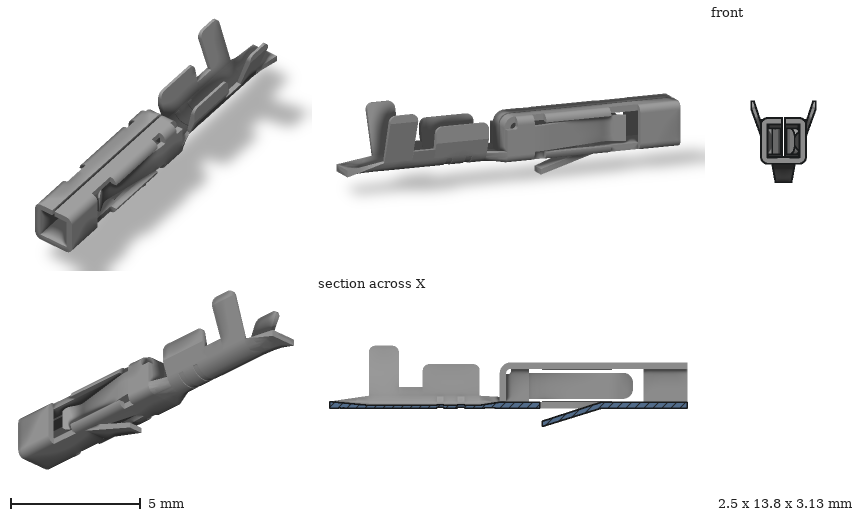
import cadquery as cq
import math


box_width = 1.75
box_height = 1.78
wall = 0.25
corner_radius = 0.29
flat_half_width = box_width / 2 - corner_radius
seam_width = 0.11
box_rear = 7.24
roof_bend_start = 6.81
roof_bend_radius = box_rear - roof_bend_start
rear_wall_height = 1.32
rear_notch_fillet = 0.12
stop_clearance = 0.04

window_front = 1.69
window_rear = 6.10
window_bottom = corner_radius
window_top = box_height - corner_radius
corner_notches = ((window_front, 2.90), (5.61, window_rear))

spring_thickness = 0.20
spring_bottom = 0.37
spring_top = 1.375
spring_angle = math.radians(11.4)
spring_entry_length = 0.61
contact_start = 3.10
contact_end = 2.65
tip_end = 2.14
tip_angle = math.radians(25)
spring_tip_radius = 0.38

tongue_root = 3.32
tongue_tip = 5.61
tongue_drop = 0.71
tongue_tip_thickness = 0.22
tongue_root_width = 0.88
tongue_tip_width = 0.62
tongue_side_gap = 0.04
tongue_tip_gap = 0.08

crimp_thickness = 0.13
crimp_radius = 0.68
wing_lean = math.radians(20)
trough_reach = math.pi / 2 - wing_lean
trough_height = crimp_radius * (1 - math.sin(wing_lean))
wing_tip_thickness = 0.11
wire_wing_span = (8.01, 10.21)
wire_wing_half_width = 0.865
wire_wing_height = 1.71
insulation_wing_span = (11.13, 12.29)
insulation_wing_half_width = 1.25
insulation_wing_height = 2.42
wing_corner = 0.25
neck_height = 0.83
neck_half_width = 0.81
neck_rim_width = 0.2
bead_starts = (8.60, 9.40)
bead_length = 0.26
bead_depth = 0.03
bead_reach = math.radians(64)

tail_end = 13.8
tail_width = 1.13
tail_thickness = 0.27


def block(x_range, y_range, z_range):
    """Box spanning the given coordinate ranges."""
    size = [r[1] - r[0] for r in (x_range, y_range, z_range)]
    return cq.Workplane("XY").box(*size, centered=False).translate((x_range[0], y_range[0], z_range[0]))


def section_plane(y):
    """Plane across the part at y, with local x along X and local y along Z."""
    return cq.Workplane(cq.Plane(origin=(0, y, 0), xDir=(1, 0, 0), normal=(0, -1, 0)))


def make_box_shell():
    """Square tube with rounded outer edges and lowered side walls at its rear end."""
    outer = block((-box_width / 2, box_width / 2), (0, box_rear), (0, box_height))
    outer = outer.edges("|Y").fillet(corner_radius)
    inner_half = box_width / 2 - wall
    shell = outer.cut(block((-inner_half, inner_half), (0, box_rear), (wall, box_height - wall)))
    notch = block((-box_width, box_width), (roof_bend_start, box_rear), (rear_wall_height, box_height))
    return shell.cut(notch.edges("|X and <Y and <Z").fillet(rear_notch_fillet))


def make_roof_bend():
    """Roof strip that bends down at the rear and closes the box almost to the floor."""
    centre_z = box_height - roof_bend_radius
    x_range = (-flat_half_width, flat_half_width)
    ring = (
        cq.Workplane("YZ", origin=(-flat_half_width, 0, 0))
        .center(roof_bend_start, centre_z)
        .circle(roof_bend_radius)
        .circle(roof_bend_radius - wall)
        .extrude(2 * flat_half_width)
    )
    quarter = block(x_range, (roof_bend_start, box_rear), (centre_z, box_height))
    stop = block(x_range, (box_rear - wall, box_rear), (wall + stop_clearance, centre_z))
    return ring.intersect(quarter).union(stop)


def cut_side_windows(body):
    """Open both side walls, and notch the rounded edges at both ends of each window."""
    for side in (-1, 1):
        x_range = sorted((side * flat_half_width, side * box_width))
        body = body.cut(block(x_range, (window_front, window_rear), (window_bottom, window_top)))
        for y_range in corner_notches:
            body = body.cut(block(x_range, y_range, (0, box_height)))
    return body


def make_spring():
    """Spring arm on the +X side: bends inward, touches near the centre and flares out at its tip."""
    entry_radius = spring_entry_length / math.sin(spring_angle)
    contact_radius = (contact_start - contact_end) / (math.sin(spring_angle) + math.sin(tip_angle))
    root_x = (box_width - spring_thickness) / 2
    entry_y = window_rear - spring_entry_length
    entry_x = root_x - entry_radius * (1 - math.cos(spring_angle))
    contact_x = entry_x - (entry_y - contact_start) * math.tan(spring_angle)
    flare_x = contact_x + contact_radius * (math.cos(spring_angle) - math.cos(tip_angle))
    tip_x = flare_x + (contact_end - tip_end) * math.tan(tip_angle)
    path = (
        cq.Workplane("XY", origin=(0, 0, (spring_bottom + spring_top) / 2))
        .moveTo(root_x, window_rear + wall)
        .lineTo(root_x, window_rear)
        .tangentArcPoint((entry_x, entry_y), relative=False)
        .lineTo(contact_x, contact_start)
        .tangentArcPoint((flare_x, contact_end), relative=False)
        .lineTo(tip_x, tip_end)
    )
    start = section_plane(window_rear + wall).center(root_x, (spring_bottom + spring_top) / 2)
    return start.rect(spring_thickness, spring_top - spring_bottom).sweep(path)


def round_spring_tip(spring):
    """Round the free end of a +X spring arm as seen from the side."""
    tip_y = tip_end - spring_thickness / 2 * math.sin(tip_angle)
    outline = block((0, box_width), (tip_y, box_rear), (spring_bottom, spring_top))
    return spring.intersect(outline.edges("|X and <Y").fillet(spring_tip_radius))


def tapered_plan(root_width, tip_width, tip_y, z_range):
    """Trapezoid seen from above, from the tongue root to tip_y."""
    return (
        cq.Workplane("XY", origin=(0, 0, z_range[0]))
        .polyline(
            [
                (-root_width / 2, tongue_root),
                (root_width / 2, tongue_root),
                (tip_width / 2, tip_y),
                (-tip_width / 2, tip_y),
            ]
        )
        .close()
        .extrude(z_range[1] - z_range[0])
    )


def make_tongue():
    """Tapered locking tongue bent down out of the floor."""
    side = (
        cq.Workplane("YZ", origin=(-tongue_root_width / 2, 0, 0))
        .polyline(
            [
                (tongue_root, wall),
                (tongue_root, 0),
                (tongue_tip, -tongue_drop),
                (tongue_tip, tongue_tip_thickness - tongue_drop),
            ]
        )
        .close()
        .extrude(tongue_root_width)
    )
    return side.intersect(
        tapered_plan(tongue_root_width, tongue_tip_width, tongue_tip, (-tongue_drop, wall))
    )


def make_floor_opening():
    """Opening left in the floor by the tongue."""
    return tapered_plan(
        tongue_root_width + 2 * tongue_side_gap,
        tongue_tip_width + 2 * tongue_side_gap,
        tongue_tip + tongue_tip_gap,
        (0, wall),
    )


def trough_point(radius, angle):
    """Point on a trough arc; the angle is measured from straight down, positive toward +X."""
    return (radius * math.sin(angle), crimp_radius - radius * math.cos(angle))


def arc_band(y, outer, inner, reach):
    """Curved band about the trough centre at y, reaching the same angle to both sides."""
    return (
        section_plane(y)
        .moveTo(*trough_point(outer, -reach))
        .threePointArc(trough_point(outer, 0), trough_point(outer, reach))
        .lineTo(*trough_point(inner, reach))
        .threePointArc(trough_point(inner, 0), trough_point(inner, -reach))
        .close()
    )


def make_trough():
    """Trough from the wire wings to the insulation wings, with beads pressed in from below."""
    start = wire_wing_span[0]
    end = insulation_wing_span[1]
    inner_radius = crimp_radius - crimp_thickness
    trough = arc_band(end, crimp_radius, inner_radius, trough_reach).extrude(end - start)
    for bead_start in bead_starts:
        bead_end = bead_start + bead_length
        groove = arc_band(bead_end, crimp_radius, crimp_radius - bead_depth, bead_reach)
        rib = arc_band(bead_end, inner_radius, inner_radius - bead_depth, bead_reach)
        trough = trough.cut(groove.extrude(bead_length)).union(rib.extrude(bead_length))
    return trough


def extrude_outline(points, y_range):
    """Closed outline across the part, extruded over a length of it."""
    return section_plane(y_range[1]).polyline(points).close().extrude(y_range[1] - y_range[0])


def make_wing(y_range, half_width, height):
    """Wing on the +X side: its outside leans, then stands upright; its inside is flat to the tip."""
    outer_x, outer_z = trough_point(crimp_radius, trough_reach)
    bend_z = outer_z + (half_width - outer_x) / math.tan(wing_lean)
    points = [
        (outer_x, outer_z),
        (half_width, bend_z),
        (half_width, height),
        (half_width - wing_tip_thickness, height),
        trough_point(crimp_radius - crimp_thickness, trough_reach),
    ]
    outline = block((0, half_width), y_range, (0, height)).edges("|X and >Z").fillet(wing_corner)
    return extrude_outline(points, y_range).intersect(outline)


def make_neck_wall():
    """Low +X wall joining the wire wing to the insulation wing."""
    points = [
        trough_point(crimp_radius, trough_reach),
        (neck_half_width, neck_height),
        (neck_half_width - neck_rim_width, neck_height),
        trough_point(crimp_radius - crimp_thickness, trough_reach),
    ]
    return extrude_outline(points, (wire_wing_span[1], insulation_wing_span[0]))


def follow_arcs(section, radius, angles):
    """Continue a section along a trough arc that is split at the given angles."""
    for start, end in zip(angles, angles[1:]):
        middle = (start + end) / 2
        section = section.threePointArc(trough_point(radius, middle), trough_point(radius, end))
    return section


def trough_wire(y, outer_angles, inner_angles):
    """Wire of the trough section: outer arcs from -X to +X, then inner arcs back."""
    inner_radius = crimp_radius - crimp_thickness
    section = section_plane(y).moveTo(*trough_point(crimp_radius, outer_angles[0]))
    section = follow_arcs(section, crimp_radius, outer_angles)
    section = section.lineTo(*trough_point(inner_radius, inner_angles[0]))
    return follow_arcs(section, inner_radius, inner_angles).close().wire().val()


def make_transition():
    """Channel blending the round trough into the square box."""
    half = box_width / 2
    diagonal = corner_radius * (1 - math.sqrt(0.5))
    channel = (
        section_plane(box_rear)
        .moveTo(-half, trough_height)
        .lineTo(-half, corner_radius)
        .threePointArc((diagonal - half, diagonal), (-flat_half_width, 0))
        .lineTo(flat_half_width, 0)
        .threePointArc((half - diagonal, diagonal), (half, corner_radius))
        .lineTo(half, trough_height)
        .lineTo(half - wall, trough_height)
        .lineTo(half - wall, wall)
        .lineTo(wall - half, wall)
        .lineTo(wall - half, trough_height)
        .close()
    )
    floor_stop = trough_reach / 2
    corner_stop = trough_reach * 3 / 4
    outer_angles = (-trough_reach, -corner_stop, -floor_stop, floor_stop, corner_stop, trough_reach)
    inner_angles = (trough_reach, corner_stop, -corner_stop, -trough_reach)
    trough = trough_wire(wire_wing_span[0], outer_angles, inner_angles)
    return cq.Workplane(cq.Solid.makeLoft([channel.wire().val(), trough], True))


def make_tail():
    """Tail that flattens from the trough into a plate."""
    half = tail_width / 2
    plate = (
        section_plane(tail_end)
        .polyline([(-half, 0), (half, 0), (half, tail_thickness), (-half, tail_thickness)])
        .close()
    )
    reach = (-trough_reach, trough_reach)
    trough = trough_wire(insulation_wing_span[1], reach, reach[::-1])
    return cq.Workplane(cq.Solid.makeLoft([trough, plate.wire().val()], True))


def with_mirror(half):
    """A +X feature together with its -X twin."""
    return half.union(half.mirror("YZ"))


def make_box_contact():
    """Box with its seam, springs and locking tongue."""
    body = cut_side_windows(make_box_shell()).union(make_roof_bend())
    seam = block((-seam_width / 2, seam_width / 2), (0, box_rear), (wall, box_height))
    body = body.cut(seam).cut(make_floor_opening()).union(make_tongue())
    spring = make_spring()
    return body.union(spring.mirror("YZ")).union(round_spring_tip(spring))


def make_crimp():
    """Trough with its wings, neck and tail."""
    wings = make_wing(wire_wing_span, wire_wing_half_width, wire_wing_height)
    wings = wings.union(make_wing(insulation_wing_span, insulation_wing_half_width, insulation_wing_height))
    wings = wings.union(make_neck_wall())
    return make_trough().union(with_mirror(wings)).union(make_tail())


result = make_box_contact().union(make_transition()).union(make_crimp())